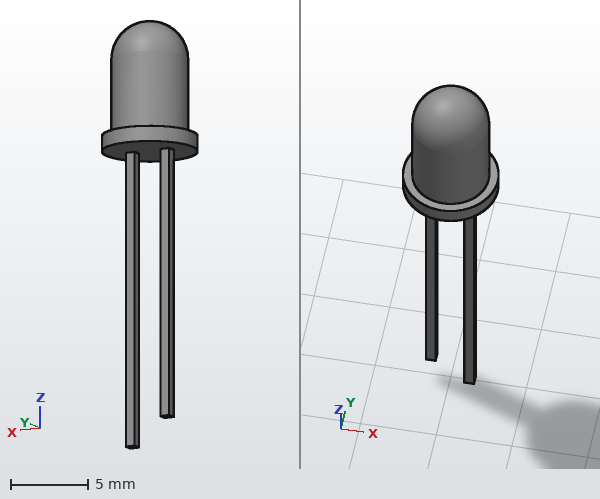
import cadquery as cq

total_height = 28.12
flange_diameter = 6.21

flange_height = 1.0
lens_radius = 2.5
lens_height = 8.6
dome_start = lens_height - lens_radius

lead_width = 0.65
lead_spacing = 2.53
long_lead = total_height - lens_height
short_lead = 17.75


def make_lens():
    """Revolve the half profile of the flange, cylinder and dome; the base is at Z = 0."""
    flange_radius = flange_diameter / 2
    dome_mid = lens_radius * 0.5**0.5
    return (
        cq.Workplane("XZ")
        .lineTo(flange_radius, 0)
        .lineTo(flange_radius, flange_height)
        .lineTo(lens_radius, flange_height)
        .lineTo(lens_radius, dome_start)
        .threePointArc((dome_mid, dome_start + dome_mid), (0, lens_height))
        .close()
        .revolve(360, (0, 0, 0), (0, 1, 0))
    )


def make_lead(x, length):
    """Square lead running down from the underside of the flange."""
    return cq.Workplane("XY").center(x, 0).rect(lead_width, lead_width).extrude(-length)


result = make_lens()
for x, length in ((-lead_spacing / 2, short_lead), (lead_spacing / 2, long_lead)):
    result = result.union(make_lead(x, length))